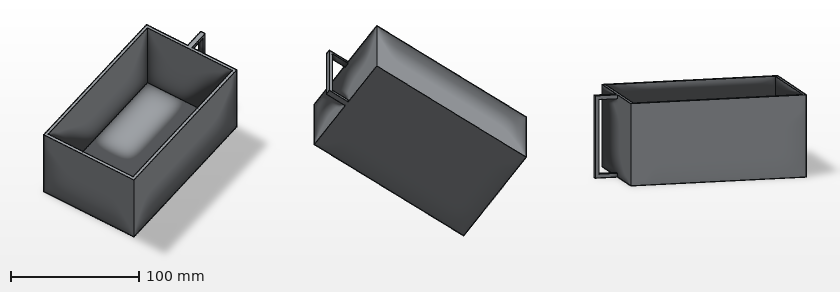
import cadquery as cq

total_length = 159.8
box_width = 85.2
box_height = 65.2

handle_reach = 17.9
wall = 2.5
floor = 2.5
box_length = total_length - handle_reach

handle_width = 4.2
handle_bar = 3.0
handle_offset = -1.6


def block(width, length, height, x_centre, y_start, z_start):
    """Box centred on x_centre, growing from y_start and z_start."""
    return (
        cq.Workplane("XY")
        .box(width, length, height, centered=(True, False, False))
        .translate((x_centre, y_start, z_start))
    )


def open_box():
    outer = block(box_width, box_length, box_height, 0, 0, 0)
    cavity = block(box_width - 2 * wall, box_length - 2 * wall, box_height - floor, 0, wall, floor)
    return outer.cut(cavity)


def handle():
    plate = block(handle_width, handle_reach, box_height, handle_offset, box_length, 0)
    opening = block(
        handle_width,
        handle_reach - handle_bar,
        box_height - 2 * handle_bar,
        handle_offset,
        box_length,
        handle_bar,
    )
    return plate.cut(opening)


result = open_box().union(handle())